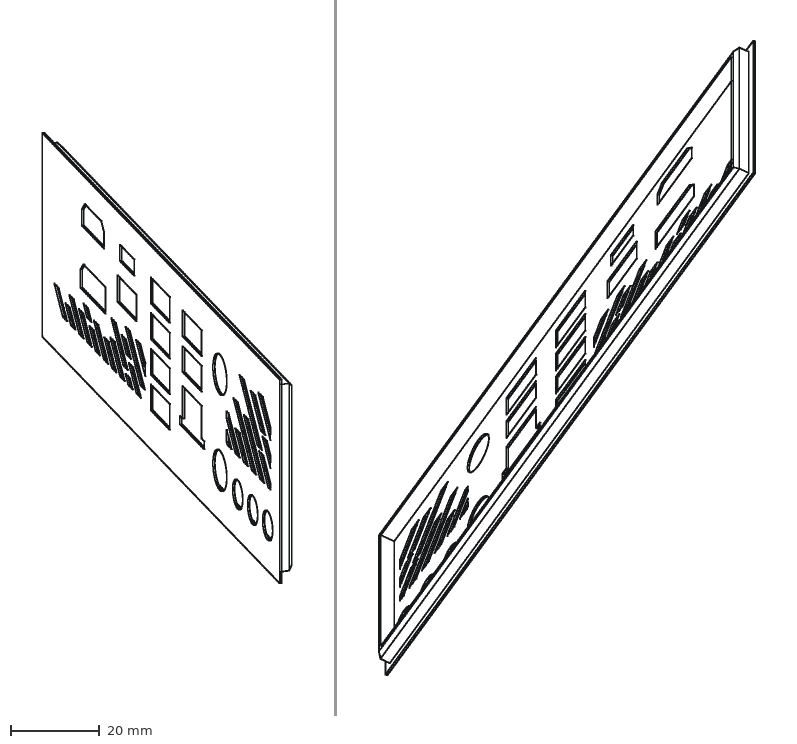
import cadquery as cq


WIDTH = 164.0
HEIGHT = 49.0
DEPTH = 4.0
SHEET = 0.5
FLANGE = 2.0
RIM_WALL = 2.0
RIM_CHAMFER = 1.0

USB_WIDTH = 13.1
USB_HEIGHT = 6.2
USB_SPAN = 25.7
USB_TOP_Z = 13.8
USB_COLUMNS = ((-0.5, 4), (21.5, 2))
USB_PITCH = USB_SPAN / (USB_COLUMNS[0][1] - 1)

NETWORK_X = USB_COLUMNS[1][0]
NETWORK_TOP = -1.3
NETWORK_BOTTOM = -11.2
NETWORK_FOOT_WIDTH = 16.7
NETWORK_FOOT_HEIGHT = 2.0

SMALL_PORT = (-23.5, 15.1, 9.8, 4.0)
SQUARE_PORT = (-23.5, 5.9, 13.0, 6.4)
HDMI_PORT = (-46.9, 15.1, 15.3, 5.9)
DISPLAY_PORT = (-46.9, 0.0, 17.2, 6.4)
PORT_CORNER = 2.0

LARGE_HOLE_DIAMETER = 9.5
LARGE_HOLE_X = 40.7
LARGE_HOLE_Z = (10.8, -12.3)
JACK_DIAMETER = 6.9
JACK_X = 53.0
JACK_Z = -13.6
JACK_PITCH = 10.3
JACK_COUNT = 3

SLOT_WIDTH = 3.1
SLOT_SPAN = 50.8
SLOT_STEPS = 9
SLOT_PITCH = SLOT_SPAN / SLOT_STEPS
WIDE_PITCH = 6.7

LEFT_VENT_FIRST = -67.7
LEFT_VENT_START = -WIDTH / 2
LEFT_VENT_END = -10.8
LEFT_VENT_BOTTOM = -14.6
LEFT_VENT_EVEN_DIAGONALS = 11
LEFT_VENT_TOPS = (-8.7, -10.7, -7.7, -8.7, -10.2, -7.7, -9.2, -7.7, -12.6, -9.2)
LEFT_VENT_UPPER = (
    (4, -8.7, -6.2),
    (8, -11.2, -2.8),
    (9, -7.7, -4.3),
    (10, -11.6, -1.3),
    (11, LEFT_VENT_BOTTOM, -1.8),
)

RIGHT_VENT_START = 45.3
RIGHT_VENT_END = 75.6
RIGHT_VENT_FIRST = 45.8
RIGHT_VENT_BOTTOM = -4.3
RIGHT_VENT_EVEN_DIAGONALS = 6
RIGHT_VENT_TOPS = (-0.8, 3.6, 1.6, 8.5, 7.0, 2.1)
RIGHT_VENT_UPPER = (
    (5, 3.1, 15.5),
    (6, RIGHT_VENT_BOTTOM, 6.5),
    (6, 7.5, 14.6),
    (7, RIGHT_VENT_BOTTOM, 16.0),
)


def block(x_size, z_size, y_start, y_end):
    """A centred box between two Y positions."""
    middle = (y_start + y_end) / 2
    return cq.Workplane("XY").box(x_size, y_end - y_start, z_size).translate((0, middle, 0))


def rectangle(x, z, width, height):
    """A rectangular cutter through the sheet."""
    return cq.Workplane("XZ").center(x, z).rect(width, height).extrude(-SHEET)


def round_hole(x, z, diameter):
    """A round cutter through the sheet."""
    return cq.Workplane("XZ").center(x, z).circle(diameter / 2).extrude(-SHEET)


def slot(diagonal, bottom, top):
    """A 45 degree slot whose left edge is the line X + Z = diagonal."""
    corners = [
        (diagonal - bottom, bottom),
        (diagonal - bottom + SLOT_WIDTH, bottom),
        (diagonal - top + SLOT_WIDTH, top),
        (diagonal - top, top),
    ]
    return cq.Workplane("XZ").polyline(corners).close().extrude(-SHEET)


def shell():
    """The sheet with its hollow rim, chamfered around the back."""
    rim_width = WIDTH - 2 * FLANGE
    rim_height = HEIGHT - 2 * FLANGE
    rim = block(rim_width, rim_height, SHEET, DEPTH)
    rim = rim.faces(">Y").chamfer(RIM_CHAMFER)
    inside = block(rim_width - 2 * RIM_WALL, rim_height - 2 * RIM_WALL, SHEET, DEPTH)
    sheet = block(WIDTH, HEIGHT, 0, SHEET)
    return sheet.union(rim.cut(inside))


def port_cutters():
    """Openings for the USB, network and video ports."""
    cuts = []
    for x, count in USB_COLUMNS:
        for row in range(count):
            cuts.append(rectangle(x, USB_TOP_Z - row * USB_PITCH, USB_WIDTH, USB_HEIGHT))
    body_height = NETWORK_TOP - NETWORK_BOTTOM
    cuts.append(rectangle(NETWORK_X, NETWORK_BOTTOM + body_height / 2, USB_WIDTH, body_height))
    cuts.append(rectangle(NETWORK_X, NETWORK_BOTTOM + NETWORK_FOOT_HEIGHT / 2,
                          NETWORK_FOOT_WIDTH, NETWORK_FOOT_HEIGHT))
    cuts.append(rectangle(*SMALL_PORT))
    cuts.append(rectangle(*SQUARE_PORT))
    cuts.append(rectangle(*HDMI_PORT).edges("|Y and >Z").chamfer(PORT_CORNER))
    cuts.append(rectangle(*DISPLAY_PORT).edges("|Y and >Z and <X").chamfer(PORT_CORNER))
    return cuts


def hole_cutters():
    """The two large round holes and the row of audio jacks."""
    cuts = [round_hole(LARGE_HOLE_X, z, LARGE_HOLE_DIAMETER) for z in LARGE_HOLE_Z]
    for i in range(JACK_COUNT):
        cuts.append(round_hole(JACK_X + i * JACK_PITCH, JACK_Z, JACK_DIAMETER))
    return cuts


def vent(first_x, bottom, even_diagonals, tops, upper, start, end):
    """Slots standing on a common bottom plus upper slots, all kept between two X positions."""
    window = rectangle((start + end) / 2, 0, end - start, HEIGHT)
    standing = [(number, bottom, top) for number, top in enumerate(tops)]
    cuts = []
    for number, low, high in standing + list(upper):
        wide_steps = max(0, number - even_diagonals + 1)
        even_steps = number - wide_steps
        diagonal = first_x + bottom + even_steps * SLOT_PITCH + wide_steps * WIDE_PITCH
        cuts.append(slot(diagonal, low, high).intersect(window))
    return cuts


left_vent = vent(LEFT_VENT_FIRST, LEFT_VENT_BOTTOM, LEFT_VENT_EVEN_DIAGONALS, LEFT_VENT_TOPS,
                 LEFT_VENT_UPPER, LEFT_VENT_START, LEFT_VENT_END)
right_vent = vent(RIGHT_VENT_FIRST, RIGHT_VENT_BOTTOM, RIGHT_VENT_EVEN_DIAGONALS, RIGHT_VENT_TOPS,
                  RIGHT_VENT_UPPER, RIGHT_VENT_START, RIGHT_VENT_END)

result = shell()
for opening in port_cutters() + hole_cutters() + left_vent + right_vent:
    result = result.cut(opening)